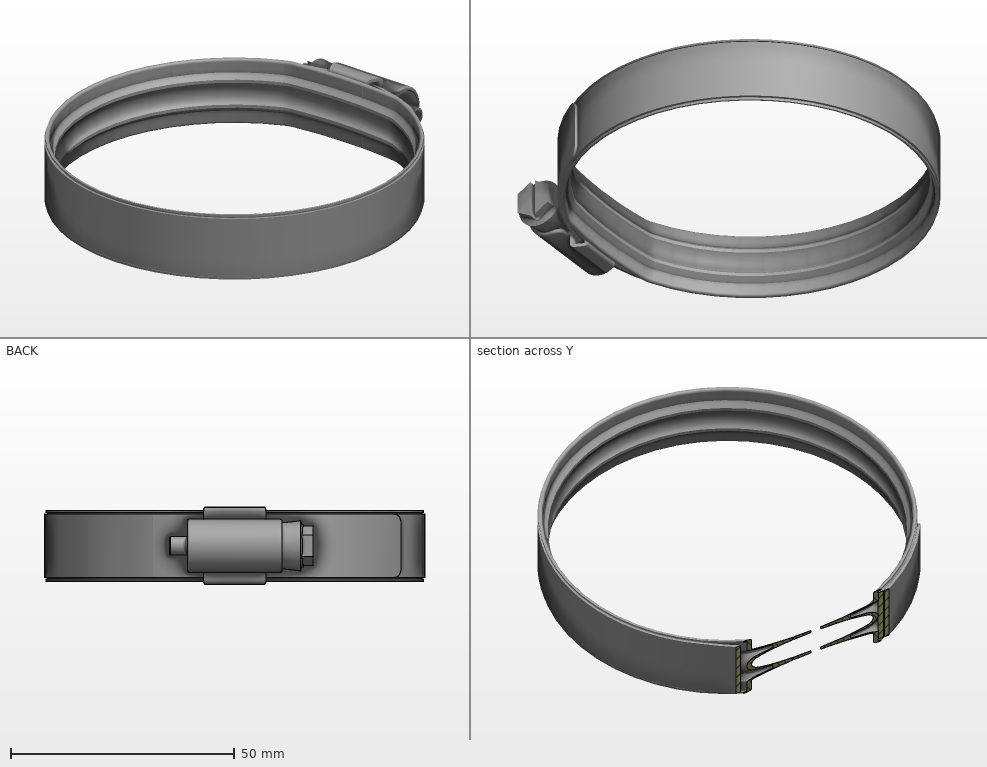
import cadquery as cq
import math


OVERALL_LENGTH = 95.8
OVERALL_WIDTH = 85.2
TOLERANCE = 0.001

BAND_THICKNESS = 0.62
BAND_OUTER_RADIUS = OVERALL_WIDTH / 2
BAND_INNER_RADIUS = BAND_OUTER_RADIUS - BAND_THICKNESS
BAND_WIDTH = 14.2
LAYER_GAP = 0.05
TAIL_INNER_RADIUS = BAND_OUTER_RADIUS + LAYER_GAP
TAIL_OUTER_RADIUS = TAIL_INNER_RADIUS + BAND_THICKNESS
TAIL_END_ANGLE = 149.5
STEP_TOP_ANGLE = 65.0
STEP_BOTTOM_ANGLE = 53.0
INNER_END_ANGLE = 96.0
TAIL_CORNER_RADIUS = 2.5

LINER_THICKNESS = 0.5
LINER_OUTER_RADIUS = BAND_INNER_RADIUS
LINER_WIDTH = 15.9
RIM_HEIGHT = 0.4
RIM_INNER_BEND = 0.6
RIDGE_HEIGHT = 1.2
RIDGE_FOOT_Z = 4.7
RIDGE_CREST_Z = 3.1
RIDGE_CREST_WIDTH = 0.8
BRIDGE_RADIUS = 105.4
BRIDGE_TOP = 40.1
BRIDGE_CORNER_RADIUS = 8.6
JOINT_X = 5.1
JOINT_GAP = 0.05

AXIS_Y = 47.2
HEX_FLATS = 8.2
HEAD_START_X = -17.5
SLOT_WIDTH = 1.2
SLOT_DEPTH = 2.1
FLANGE_START_X = -15.2
FLANGE_EDGE_X = -14.8
FLANGE_RADIUS = 5.7
FLANGE_FACE_RADIUS = 4.0
COLLAR_END_RADIUS = 5.2
WORM_RADIUS = 5.0
TIP_RADIUS = 2.1
TIP_END_X = 14.7
TIP_CHAMFER = 0.3

HOUSING_LENGTH = 21.2
HOUSING_THICKNESS = 0.8
ARCH_RADIUS = OVERALL_LENGTH - BAND_OUTER_RADIUS - AXIS_Y
FRAME_HEIGHT = 17.3
FRAME_TOP = 44.4
FRAME_BOTTOM = 40.5
FRAME_CORNER_RADIUS = 1.0
FRAME_TOP_LENGTH = 14.4
FRAME_BOTTOM_LENGTH = 10.5
SHOULDER_Y = 44.7
SHOULDER_RADIUS = 2.3
ARCH_EDGE_RADIUS = 0.5


def polar(radius, angle):
    """Point at a radius and an angle in degrees."""
    return radius * math.cos(math.radians(angle)), radius * math.sin(math.radians(angle))


def clockwise_tangent(angle):
    """Unit direction of clockwise travel round the clamp axis."""
    return polar(1, angle - 90)


def make_band():
    def arc(outline, radius, start, end):
        return outline.threePointArc(polar(radius, (start + end) / 2), polar(radius, end))

    step_down = [clockwise_tangent(STEP_TOP_ANGLE), clockwise_tangent(STEP_BOTTOM_ANGLE)]
    step_up = [polar(1, STEP_BOTTOM_ANGLE + 90), polar(1, STEP_TOP_ANGLE + 90)]
    inner_end = INNER_END_ANGLE - 360

    outline = cq.Workplane("XY").workplane(offset=-BAND_WIDTH / 2)
    outline = outline.moveTo(*polar(TAIL_OUTER_RADIUS, TAIL_END_ANGLE))
    outline = arc(outline, TAIL_OUTER_RADIUS, TAIL_END_ANGLE, STEP_TOP_ANGLE)
    outline = outline.spline(
        [polar(BAND_OUTER_RADIUS, STEP_BOTTOM_ANGLE)], tangents=step_down, includeCurrent=True
    )
    outline = arc(outline, BAND_OUTER_RADIUS, STEP_BOTTOM_ANGLE, inner_end)
    outline = outline.lineTo(*polar(BAND_INNER_RADIUS, inner_end))
    outline = arc(outline, BAND_INNER_RADIUS, inner_end, STEP_BOTTOM_ANGLE)
    outline = outline.spline(
        [polar(TAIL_INNER_RADIUS, STEP_TOP_ANGLE)], tangents=step_up, includeCurrent=True
    )
    outline = arc(outline, TAIL_INNER_RADIUS, STEP_TOP_ANGLE, TAIL_END_ANGLE)
    band = outline.close().extrude(BAND_WIDTH)

    for z in (-BAND_WIDTH / 2, BAND_WIDTH / 2):
        corner = (*polar(TAIL_INNER_RADIUS + BAND_THICKNESS / 2, TAIL_END_ANGLE), z)
        band = band.edges(cq.selectors.NearestToPointSelector(corner)).fillet(TAIL_CORNER_RADIUS)

    worm_recess = (
        cq.Workplane("YZ")
        .center(AXIS_Y, 0)
        .circle(WORM_RADIUS)
        .extrude(HOUSING_LENGTH / 2, both=True)
    )
    return band.cut(worm_recess)


def liner_path():
    """Outer surface line of the liner: bridge, corner, main ring, corner, bridge."""
    bridge_center_y = BRIDGE_TOP - BRIDGE_RADIUS
    ring_reach = LINER_OUTER_RADIUS - BRIDGE_CORNER_RADIUS
    bridge_reach = BRIDGE_RADIUS - BRIDGE_CORNER_RADIUS
    corner_y = (ring_reach**2 + bridge_center_y**2 - bridge_reach**2) / (2 * bridge_center_y)
    corner_x = math.sqrt(ring_reach**2 - corner_y**2)

    def bridge_y(x):
        return bridge_center_y + math.sqrt(BRIDGE_RADIUS**2 - x**2)

    ring_angle = math.atan2(corner_y, corner_x)
    bridge_angle = math.atan2(corner_y - bridge_center_y, corner_x)
    middle_angle = (ring_angle + bridge_angle) / 2
    ring_x = LINER_OUTER_RADIUS * math.cos(ring_angle)
    ring_y = LINER_OUTER_RADIUS * math.sin(ring_angle)
    bridge_x = BRIDGE_RADIUS * math.cos(bridge_angle)
    middle_x = corner_x + BRIDGE_CORNER_RADIUS * math.cos(middle_angle)
    middle_y = corner_y + BRIDGE_CORNER_RADIUS * math.sin(middle_angle)

    start_x = JOINT_X + JOINT_GAP / 2
    end_x = JOINT_X - JOINT_GAP / 2
    right_x = (start_x + bridge_x) / 2
    left_x = (end_x - bridge_x) / 2
    path = (
        cq.Workplane("XY")
        .moveTo(start_x, bridge_y(start_x))
        .threePointArc((right_x, bridge_y(right_x)), (bridge_x, bridge_y(bridge_x)))
        .threePointArc((middle_x, middle_y), (ring_x, ring_y))
        .threePointArc((0, -LINER_OUTER_RADIUS), (-ring_x, ring_y))
        .threePointArc((-middle_x, middle_y), (-bridge_x, bridge_y(bridge_x)))
        .threePointArc((left_x, bridge_y(left_x)), (end_x, bridge_y(end_x)))
    )
    start = cq.Vector(start_x, bridge_y(start_x), 0)
    outward = cq.Vector(start_x, bridge_y(start_x) - bridge_center_y, 0).normalized()
    return path, start, outward


def make_liner():
    path, start, outward = liner_path()
    section_plane = cq.Plane(origin=start, xDir=outward, normal=outward.cross(cq.Vector(0, 0, 1)))

    inner = -LINER_THICKNESS
    crest = inner - RIDGE_HEIGHT
    rim_z = LINER_WIDTH / 2
    rim_inside_z = rim_z - LINER_THICKNESS
    crest_outer_z = RIDGE_CREST_Z + RIDGE_CREST_WIDTH / 2
    crest_inner_z = RIDGE_CREST_Z - RIDGE_CREST_WIDTH / 2
    bend_x = inner + RIM_INNER_BEND
    bend_z = rim_z - RIM_INNER_BEND
    bend_middle = RIM_INNER_BEND * math.sqrt(0.5)
    outer_bend = RIM_INNER_BEND - LINER_THICKNESS
    outer_bend_middle = outer_bend * (1 - math.sqrt(0.5))

    section = (
        cq.Workplane(section_plane)
        .moveTo(RIM_HEIGHT, rim_z)
        .lineTo(bend_x, rim_z)
        .threePointArc((bend_x - bend_middle, bend_z + bend_middle), (inner, bend_z))
        .lineTo(inner, RIDGE_FOOT_Z)
        .lineTo(crest, crest_outer_z)
        .lineTo(crest, crest_inner_z)
        .threePointArc((inner, 0), (crest, -crest_inner_z))
        .lineTo(crest, -crest_outer_z)
        .lineTo(inner, -RIDGE_FOOT_Z)
        .lineTo(inner, -bend_z)
        .threePointArc((bend_x - bend_middle, -bend_z - bend_middle), (bend_x, -rim_z))
        .lineTo(RIM_HEIGHT, -rim_z)
        .lineTo(RIM_HEIGHT, -rim_inside_z)
        .lineTo(outer_bend, -rim_inside_z)
        .threePointArc((outer_bend_middle, outer_bend_middle - rim_inside_z), (0, -bend_z))
        .lineTo(0, -RIDGE_FOOT_Z)
        .lineTo(crest + LINER_THICKNESS, -crest_outer_z)
        .lineTo(crest + LINER_THICKNESS, -crest_inner_z)
        .threePointArc((0, 0), (crest + LINER_THICKNESS, crest_inner_z))
        .lineTo(crest + LINER_THICKNESS, crest_outer_z)
        .lineTo(0, RIDGE_FOOT_Z)
        .lineTo(0, bend_z)
        .threePointArc((outer_bend_middle, rim_inside_z - outer_bend_middle), (outer_bend, rim_inside_z))
        .lineTo(RIM_HEIGHT, rim_inside_z)
        .close()
    )
    return section.sweep(path)


def make_screw():
    hex_corner_radius = HEX_FLATS / math.sqrt(3)
    worm_end_x = HOUSING_LENGTH / 2
    body = (
        cq.Workplane("XY")
        .moveTo(FLANGE_START_X, 0)
        .lineTo(FLANGE_START_X, FLANGE_FACE_RADIUS)
        .lineTo(FLANGE_EDGE_X, FLANGE_RADIUS)
        .lineTo(-worm_end_x, COLLAR_END_RADIUS)
        .lineTo(-worm_end_x, WORM_RADIUS)
        .lineTo(worm_end_x, WORM_RADIUS)
        .lineTo(worm_end_x, TIP_RADIUS)
        .lineTo(TIP_END_X - TIP_CHAMFER, TIP_RADIUS)
        .lineTo(TIP_END_X, TIP_RADIUS - TIP_CHAMFER)
        .lineTo(TIP_END_X, 0)
        .close()
        .revolve(360, (0, 0, 0), (1, 0, 0))
        .translate((0, AXIS_Y, 0))
    )
    head = (
        cq.Workplane("YZ", origin=(HEAD_START_X, AXIS_Y, 0))
        .transformed(rotate=(0, 0, 90))
        .polygon(6, 2 * hex_corner_radius)
        .extrude(FLANGE_EDGE_X - HEAD_START_X)
    )
    slot = cq.Workplane("XY", origin=(HEAD_START_X, AXIS_Y, 0)).box(
        2 * SLOT_DEPTH, SLOT_WIDTH, 4 * hex_corner_radius
    )
    return body.union(head).cut(slot)


def make_housing():
    half_length = HOUSING_LENGTH / 2
    bore_radius = ARCH_RADIUS - HOUSING_THICKNESS
    frame_depth = FRAME_TOP - FRAME_BOTTOM
    frame_middle_y = (FRAME_TOP + FRAME_BOTTOM) / 2

    arch = cq.Workplane("YZ").center(AXIS_Y, 0).circle(ARCH_RADIUS).extrude(half_length, both=True)
    frame = (
        cq.Workplane("YZ")
        .center(frame_middle_y, 0)
        .rect(frame_depth, FRAME_HEIGHT)
        .extrude(half_length, both=True)
        .edges("|X")
        .fillet(FRAME_CORNER_RADIUS)
    )
    window = (
        cq.Workplane("YZ")
        .center(frame_middle_y, 0)
        .rect(frame_depth - 2 * HOUSING_THICKNESS, FRAME_HEIGHT - 2 * HOUSING_THICKNESS)
        .extrude(half_length, both=True)
        .edges("|X")
        .fillet(FRAME_CORNER_RADIUS - HOUSING_THICKNESS)
    )
    bore = cq.Workplane("YZ").center(AXIS_Y, 0).circle(bore_radius).extrude(half_length, both=True)
    solid = arch.union(frame).cut(window).cut(bore)

    top_y = AXIS_Y + ARCH_RADIUS
    shoulder_x = half_length - SHOULDER_RADIUS
    shoulder_top = SHOULDER_Y + SHOULDER_RADIUS
    bend = SHOULDER_RADIUS * math.sqrt(0.5)
    outline = (
        cq.Workplane("XY")
        .moveTo(-half_length, top_y)
        .lineTo(half_length, top_y)
        .lineTo(half_length, shoulder_top)
        .threePointArc((shoulder_x + bend, shoulder_top - bend), (shoulder_x, SHOULDER_Y))
        .lineTo(FRAME_TOP_LENGTH / 2, SHOULDER_Y)
        .lineTo(FRAME_BOTTOM_LENGTH / 2, FRAME_BOTTOM)
        .lineTo(-FRAME_BOTTOM_LENGTH / 2, FRAME_BOTTOM)
        .lineTo(-FRAME_TOP_LENGTH / 2, SHOULDER_Y)
        .lineTo(-shoulder_x, SHOULDER_Y)
        .threePointArc((-shoulder_x - bend, shoulder_top - bend), (-half_length, shoulder_top))
        .close()
        .extrude(FRAME_HEIGHT, both=True)
    )
    housing = solid.intersect(outline)

    def on_arch_rim(edge):
        points = edge.positions([0, 0.25, 0.5, 0.75, 1])
        return all(
            abs(math.hypot(p.y - AXIS_Y, p.z) - ARCH_RADIUS) < TOLERANCE
            and abs(p.x) > shoulder_x
            for p in points
        )

    rims = [edge for edge in housing.edges().vals() if on_arch_rim(edge)]
    return housing.newObject(rims).fillet(ARCH_EDGE_RADIUS)


band = make_band()
liner = make_liner()
screw = make_screw()
housing = make_housing()

result = cq.Compound.makeCompound([band.val(), liner.val(), screw.val(), housing.val()])